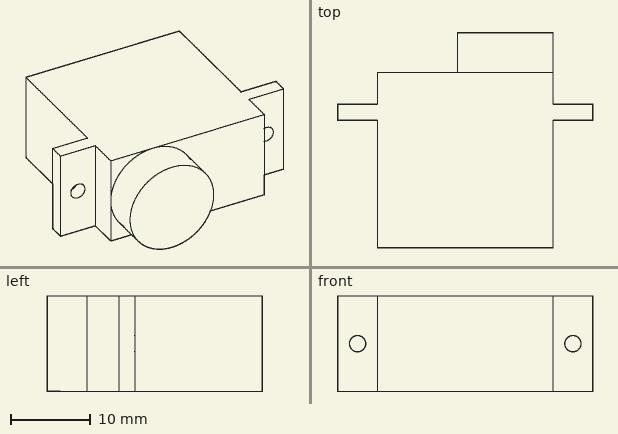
import cadquery as cq

total_width = 32.0
height = 12.0
ear_width = 5.0
ear_thickness = 2.0
ear_setback = 4.0
hole_diameter = 2.0
boss_length = 5.0

body_width = total_width - 2 * ear_width
body_depth = body_width
boss_radius = height / 2
boss_x = body_width / 2 - boss_radius
back_y = body_depth / 2
ear_y = back_y - ear_setback - ear_thickness / 2
hole_x = (total_width - ear_width) / 2


def make_body():
    return cq.Workplane("XY").box(body_width, body_depth, height)


def make_ears():
    """One plate through the body forms both ears, each with a mounting hole."""
    plate = cq.Workplane("XY").box(total_width, ear_thickness, height)
    plate = (
        plate.faces("<Y").workplane()
        .pushPoints([(-hole_x, 0), (hole_x, 0)])
        .hole(hole_diameter)
    )
    return plate.translate((0, ear_y, 0))


def make_boss():
    """Round output boss on the back face, as tall as the body."""
    return (
        cq.Workplane("XZ", origin=(boss_x, back_y, 0))
        .circle(boss_radius)
        .extrude(-boss_length)
    )


result = make_body().union(make_ears()).union(make_boss())